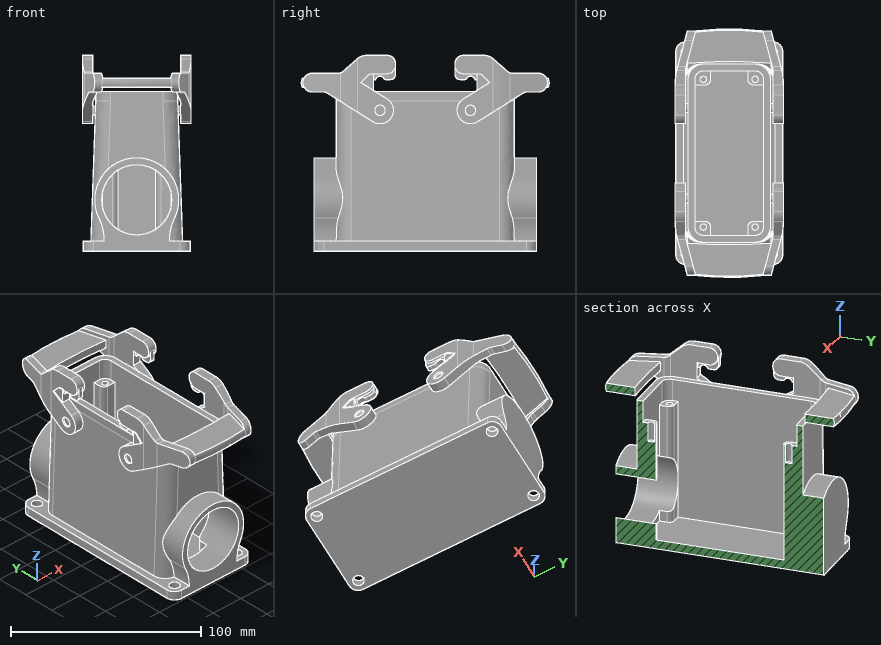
import cadquery as cq
import math

BASE_X = 56.4
BASE_Y = 117.0
BASE_HEIGHT = 5.4
BASE_CORNER_RADIUS = 5.4
MOUNT_HOLE_DIAMETER = 6.0
MOUNT_HOLE_X = 22.3
MOUNT_HOLE_Y = 52.7

FOOT_X = 48.3
RIM_X = 43.2
HOUSING_Y = 93.6
HOUSING_CORNER_RADIUS = 7.8
RIM_BAND_Z = 78.8
RIM_TOP_Z = 83.9
WALL = 3.7
FLOOR_Z = BASE_HEIGHT
CAVITY_CORNER_RADIUS = HOUSING_CORNER_RADIUS - WALL

POST_TOP_Z = 71.8
POST_INNER_X = 9.8
POST_INNER_Y = 35.9
POST_ROUNDING = 2.9
POST_HOLE_DIAMETER = 3.4
POST_HOLE_X = 13.6
POST_HOLE_Y = 38.8
POST_HOLE_DEPTH = 10.5

PORT_RADIUS = 22.0
PORT_BORE_RADIUS = 18.4
PORT_Z = 27.0
PORT_FOOT_HALF_WIDTH = 17.1

PIN_DIAMETER = 4.7
PIVOT_Y = 23.8
PIVOT_Z = 74.0
PIVOT_RADIUS = 7.0
PIVOT_DISH_DIAMETER = 5.5
PIVOT_DISH_DEPTH = 0.9
LEVER_X = 57.0
PLATE_OUTER_X = LEVER_X / 2
PLATE_INNER_X = 23.1
LEG_ANGLE = 32.0

HOOK_TOP_Z = 103.0
HOOK_TIP_Y = 15.5
HOOK_BOTTOM_Z = 93.2
HOOK_ROUNDING = 4.6
SHOULDER_Y = 33.5
SHOULDER_ROUNDING = 7.8
ELBOW_Y = 44.2
ELBOW_ROUNDING = 3.1
THROAT_Y = 27.1
THROAT_APEX_Y = 33.8
THROAT_SHOULDER_Y = 29.2
THROAT_ROUNDING = 2.9
THROAT_RECESS_DEPTH = 0.5

LIP_BOTTOM_Z = 90.0
LIP_THICKNESS = 2.7
LIP_ROUNDING = 2.9
NOTCH_RADIUS = 2.3
NOTCH_Z = 89.5
NOTCH_LEAD_IN = 1.3

ARM_BOTTOM_Z = 83.5
ARM_TOP_Z = 93.6
ARM_TIP_Y = 64.2
ARM_ANGLE = 15.0
OUTER_BEND_Y = 35.5
OUTER_BEND_RADIUS = 34.7
INNER_BEND_Y = 42.2
INNER_BEND_RADIUS = 12.7
BAR_BOTTOM_Z = 86.0
BAR_TOP_Z = 91.0
BAR_TIP_Y = 65.2
BAR_EDGE_RADIUS = 159.2
BAR_INNER_SIDE_Y = 47.1
BAR_INNER_MIDDLE_Y = 48.2

MERGE_DISTANCE = 0.001


def rounded_outline(corners):
    """Closed outline in the YZ plane through (y, z, radius) corners rounded by tangent arcs."""
    path = cq.Workplane("YZ")
    last = None
    for i, (y, z, radius) in enumerate(corners):
        corner = cq.Vector(y, z)
        before = cq.Vector(*corners[i - 1][:2])
        after = cq.Vector(*corners[(i + 1) % len(corners)][:2])
        to_before = (before - corner).normalized()
        to_after = (after - corner).normalized()
        half_angle = to_before.getAngle(to_after) / 2
        setback = radius / math.tan(half_angle)
        start = corner + to_before * setback
        end = corner + to_after * setback
        if last is None:
            path = path.moveTo(start.x, start.y)
        elif (start - last).Length > MERGE_DISTANCE:
            path = path.lineTo(start.x, start.y)
        if radius > 0:
            bisector = (to_before + to_after).normalized()
            middle = corner + bisector * (radius / math.sin(half_angle) - radius)
            path = path.threePointArc((middle.x, middle.y), (end.x, end.y))
        last = end
    return path.close()


def housing_block():
    """Solid housing: long sides drafted up to the rim band, then straight to the top."""
    drafted_height = RIM_BAND_Z - BASE_HEIGHT
    drafted = (
        cq.Workplane("XY")
        .workplane(offset=BASE_HEIGHT)
        .rect(FOOT_X, HOUSING_Y)
        .workplane(offset=drafted_height)
        .rect(RIM_X, HOUSING_Y)
        .loft(ruled=True)
    )
    band = drafted.faces(">Z").wires().toPending().extrude(RIM_TOP_Z - RIM_BAND_Z)
    return band.edges("not #Z").fillet(HOUSING_CORNER_RADIUS)


def cavity_block():
    """Straight-walled space inside the housing, from the floor to the rim."""
    return (
        cq.Workplane("XY")
        .workplane(offset=FLOOR_Z)
        .rect(RIM_X - 2 * WALL, HOUSING_Y - 2 * WALL)
        .extrude(RIM_TOP_Z - FLOOR_Z)
        .edges("|Z")
        .fillet(CAVITY_CORNER_RADIUS)
    )


def four_corners(x, y):
    return [(x, y), (-x, y), (x, -y), (-x, -y)]


def base_plate():
    plate = cq.Workplane("XY").rect(BASE_X, BASE_Y).extrude(BASE_HEIGHT)
    plate = plate.edges("|Z").fillet(BASE_CORNER_RADIUS)
    return (
        plate.faces(">Z")
        .workplane(origin=(0, 0, 0))
        .pushPoints(four_corners(MOUNT_HOLE_X, MOUNT_HOLE_Y))
        .hole(MOUNT_HOLE_DIAMETER)
    )


def ports():
    """Round sockets standing out of both end walls, with hollow flanks down to the base."""
    drop = PORT_Z - BASE_HEIGHT
    hollow_radius = (drop**2 + PORT_FOOT_HALF_WIDTH**2 - PORT_RADIUS**2) / (
        2 * (PORT_RADIUS - PORT_FOOT_HALF_WIDTH)
    )
    touch_scale = PORT_RADIUS / (PORT_RADIUS + hollow_radius)
    touch_x = (PORT_FOOT_HALF_WIDTH + hollow_radius) * touch_scale
    touch_z = PORT_Z - drop * touch_scale
    half_sweep = math.asin(drop / (PORT_RADIUS + hollow_radius)) / 2
    middle_x = PORT_FOOT_HALF_WIDTH + hollow_radius * (1 - math.cos(half_sweep))
    middle_z = BASE_HEIGHT + hollow_radius * math.sin(half_sweep)
    return (
        cq.Workplane("XZ")
        .moveTo(-PORT_FOOT_HALF_WIDTH, 0)
        .lineTo(PORT_FOOT_HALF_WIDTH, 0)
        .lineTo(PORT_FOOT_HALF_WIDTH, BASE_HEIGHT)
        .threePointArc((middle_x, middle_z), (touch_x, touch_z))
        .threePointArc((0, PORT_Z + PORT_RADIUS), (-touch_x, touch_z))
        .threePointArc((-middle_x, middle_z), (-PORT_FOOT_HALF_WIDTH, BASE_HEIGHT))
        .close()
        .extrude(BASE_Y / 2, both=True)
    )


def posts(cavity):
    """Corner posts that fill the cavity corners up to the screw level."""
    height = POST_TOP_Z - FLOOR_Z
    size_x = FOOT_X / 2 - POST_INNER_X
    size_y = HOUSING_Y / 2 - POST_INNER_Y
    corner_blocks = (
        cq.Workplane("XY")
        .workplane(offset=FLOOR_Z)
        .pushPoints(four_corners(POST_INNER_X + size_x / 2, POST_INNER_Y + size_y / 2))
        .rect(size_x, size_y)
        .extrude(height)
        .edges("|Z")
        .fillet(POST_ROUNDING)
    )
    screw_holes = (
        cq.Workplane("XY")
        .workplane(offset=POST_TOP_Z)
        .pushPoints(four_corners(POST_HOLE_X, POST_HOLE_Y))
        .circle(POST_HOLE_DIAMETER / 2)
        .extrude(-POST_HOLE_DEPTH)
    )
    return corner_blocks.intersect(cavity).cut(screw_holes)


def port_bore():
    """Bore of the front port; the rear port stays closed by the housing wall."""
    return (
        cq.Workplane("XZ", origin=(0, -POST_INNER_Y, PORT_Z))
        .circle(PORT_BORE_RADIUS)
        .extrude(BASE_Y / 2)
    )


def leg_edge_z(y, side):
    """Height of the leg's upper (side = 1) or lower (side = -1) straight edge at y."""
    angle = math.radians(LEG_ANGLE)
    return PIVOT_Z + (y - PIVOT_Y) * math.tan(angle) + side * PIVOT_RADIUS / math.cos(angle)


def lever_silhouette():
    angle = math.radians(LEG_ANGLE)
    along = cq.Vector(math.cos(angle), math.sin(angle)) * PIVOT_RADIUS
    across = cq.Vector(-math.sin(angle), math.cos(angle)) * PIVOT_RADIUS
    leg_end = cq.Vector(PIVOT_Y, PIVOT_Z) - along
    leg_upper = leg_end + across
    leg_lower = leg_end - across
    lower_elbow_y = PIVOT_Y + (
        ARM_BOTTOM_Z - PIVOT_Z + PIVOT_RADIUS / math.cos(angle)
    ) / math.tan(angle)
    tip_radius = (ARM_TOP_Z - ARM_BOTTOM_Z) / 2
    return rounded_outline(
        [
            (THROAT_Y, leg_edge_z(THROAT_Y, 1), 0),
            (leg_upper.x, leg_upper.y, PIVOT_RADIUS),
            (leg_lower.x, leg_lower.y, PIVOT_RADIUS),
            (lower_elbow_y, ARM_BOTTOM_Z, ELBOW_ROUNDING),
            (ARM_TIP_Y, ARM_BOTTOM_Z, tip_radius),
            (ARM_TIP_Y, ARM_TOP_Z, tip_radius),
            (ELBOW_Y, ARM_TOP_Z, ELBOW_ROUNDING),
            (SHOULDER_Y, HOOK_TOP_Z, SHOULDER_ROUNDING),
            (HOOK_TIP_Y, HOOK_TOP_Z, HOOK_ROUNDING),
            (HOOK_TIP_Y, HOOK_BOTTOM_Z, HOOK_ROUNDING),
            (THROAT_Y, HOOK_BOTTOM_Z, 0),
        ]
    )


def side_plate_plan():
    """Strip seen from above: straight along the housing, then bent inwards to the handle."""
    angle = math.radians(ARM_ANGLE)

    def bend_end(x, y, radius):
        return x - radius * (1 - math.cos(angle)), y + radius * math.sin(angle)

    def on_slope(bend):
        return bend[0] - (BAR_TIP_Y - bend[1]) * math.tan(angle), BAR_TIP_Y

    outer_bend = bend_end(PLATE_OUTER_X, OUTER_BEND_Y, OUTER_BEND_RADIUS)
    inner_bend = bend_end(PLATE_INNER_X, INNER_BEND_Y, INNER_BEND_RADIUS)
    return (
        cq.Workplane("XY")
        .moveTo(PLATE_OUTER_X, 0)
        .lineTo(PLATE_OUTER_X, OUTER_BEND_Y)
        .tangentArcPoint(outer_bend, relative=False)
        .lineTo(*on_slope(outer_bend))
        .lineTo(*on_slope(inner_bend))
        .lineTo(*inner_bend)
        .threePointArc(
            (
                PLATE_INNER_X - INNER_BEND_RADIUS * (1 - math.cos(angle / 2)),
                INNER_BEND_Y + INNER_BEND_RADIUS * math.sin(angle / 2),
            ),
            (PLATE_INNER_X, INNER_BEND_Y),
        )
        .lineTo(PLATE_INNER_X, 0)
        .close()
    )


def catch_lip():
    """Lip below the hook, half as thick as the plate, with a rounded notch above the pin."""
    middle_x = (PLATE_OUTER_X + PLATE_INNER_X) / 2
    half_notch = math.sqrt(NOTCH_RADIUS**2 - (LIP_BOTTOM_Z - NOTCH_Z) ** 2)
    lip = rounded_outline(
        [
            (THROAT_Y, LIP_BOTTOM_Z, 0),
            (THROAT_Y, HOOK_TOP_Z - HOOK_ROUNDING, 0),
            (HOOK_TIP_Y, HOOK_TOP_Z - HOOK_ROUNDING, 0),
            (HOOK_TIP_Y, LIP_BOTTOM_Z, LIP_ROUNDING),
        ]
    ).extrude(LIP_THICKNESS / 2, both=True)
    notch = (
        cq.Workplane("YZ")
        .center(PIVOT_Y, NOTCH_Z)
        .circle(NOTCH_RADIUS)
        .extrude(LIP_THICKNESS, both=True)
    )
    notch_mouth = cq.selectors.NearestToPointSelector((0, PIVOT_Y - half_notch, LIP_BOTTOM_Z))
    lip = lip.cut(notch).edges(notch_mouth).fillet(NOTCH_LEAD_IN)
    return lip.translate((middle_x, 0, 0))


def throat_recess():
    """Shallow pocket in the outer face that widens the throat behind the hook."""
    return (
        rounded_outline(
            [
                (THROAT_Y, leg_edge_z(THROAT_Y, 1), 0),
                (THROAT_APEX_Y, leg_edge_z(THROAT_APEX_Y, 1), 0),
                (THROAT_SHOULDER_Y, HOOK_BOTTOM_Z, THROAT_ROUNDING),
                (THROAT_Y, HOOK_BOTTOM_Z, 0),
            ]
        )
        .extrude(THROAT_RECESS_DEPTH)
        .translate((PLATE_OUTER_X - THROAT_RECESS_DEPTH, 0, 0))
    )


def side_plate():
    """Side plate of a lever on the +X side, with its hinge pin."""
    plate = lever_silhouette().extrude(PLATE_OUTER_X)
    plate = plate.intersect(side_plate_plan().extrude(HOOK_TOP_Z))
    plate = plate.cut(throat_recess()).union(catch_lip())
    pin_start_x = RIM_X / 2 - WALL / 2
    pivot = cq.Workplane("YZ").center(PIVOT_Y, PIVOT_Z)
    pin = pivot.workplane(offset=pin_start_x).circle(PIN_DIAMETER / 2)
    pin = pin.extrude(PLATE_INNER_X - pin_start_x)
    dish = pivot.workplane(offset=PLATE_OUTER_X).circle(PIVOT_DISH_DIAMETER / 2)
    return plate.cut(dish.extrude(-PIVOT_DISH_DEPTH)).union(pin)


def handle_bar():
    """Bar between the two arms: bowed on both long sides, its outer edge rounded like the tips."""
    angle = math.radians(ARM_ANGLE)
    bend_drop = INNER_BEND_RADIUS * (1 - math.cos(angle))
    bend_end_y = INNER_BEND_Y + INNER_BEND_RADIUS * math.sin(angle)
    arm_thickness = PLATE_OUTER_X - PLATE_INNER_X

    def inside_arm_x(y):
        """X of a point well inside the arm, so that the bar ends merge with it."""
        inner_face = PLATE_INNER_X - bend_drop - (y - bend_end_y) * math.tan(angle)
        return inner_face + arm_thickness / 4

    side_x = inside_arm_x(BAR_INNER_SIDE_Y)
    tip_x = inside_arm_x(BAR_TIP_Y)
    plan = (
        cq.Workplane("XY")
        .workplane(offset=BAR_BOTTOM_Z)
        .moveTo(-side_x, BAR_INNER_SIDE_Y)
        .threePointArc((0, BAR_INNER_MIDDLE_Y), (side_x, BAR_INNER_SIDE_Y))
        .lineTo(tip_x, BAR_TIP_Y)
        .lineTo(-tip_x, BAR_TIP_Y)
        .close()
        .extrude(BAR_TOP_Z - BAR_BOTTOM_Z)
    )
    middle_z = (BAR_BOTTOM_Z + BAR_TOP_Z) / 2
    half_height = (BAR_TOP_Z - BAR_BOTTOM_Z) / 2
    tip_radius = (ARM_TOP_Z - ARM_BOTTOM_Z) / 2
    sag = tip_radius - math.sqrt(tip_radius**2 - half_height**2)
    rounded_disc = (
        cq.Workplane("XZ")
        .moveTo(0, BAR_BOTTOM_Z)
        .lineTo(BAR_EDGE_RADIUS - sag, BAR_BOTTOM_Z)
        .threePointArc((BAR_EDGE_RADIUS, middle_z), (BAR_EDGE_RADIUS - sag, BAR_TOP_Z))
        .lineTo(0, BAR_TOP_Z)
        .close()
        .revolve(360, (0, 0, 0), (0, 1, 0))
        .translate((0, BAR_TIP_Y - BAR_EDGE_RADIUS, 0))
    )
    return plan.intersect(rounded_disc)


def lever():
    """Locking lever on the +Y side: two mirrored side plates joined by the handle bar."""
    plate = side_plate()
    return plate.union(plate.mirror("YZ")).union(handle_bar())


cavity = cavity_block()
housing = base_plate().union(ports()).union(housing_block())
housing = housing.cut(cavity).union(posts(cavity)).cut(port_bore())
rear_lever = lever()
result = housing.union(rear_lever).union(rear_lever.mirror("XZ"))